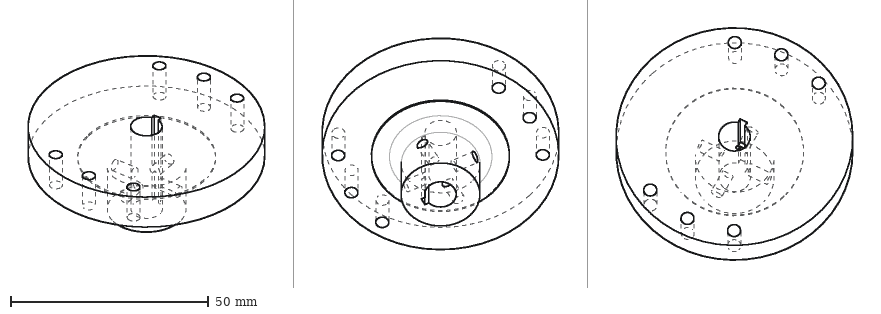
import cadquery as cq

flange_diameter = 60.0
flange_thickness = 9.5
pad_diameter = 35.0
pad_thickness = 0.5
hub_diameter = 20.0
total_height = 26.0
hub_fillet = 3.0

bore_diameter = 8.0
keyway_width = 2.0
keyway_depth = 5.0

cross_hole_diameter = 3.0
cross_hole_height = 9.65

flange_hole_diameter = 3.3
middle_hole_y = 25.5
outer_hole_x = 12.0
outer_hole_y = 23.0

flange_bottom = total_height - flange_thickness
pad_bottom = flange_bottom - pad_thickness
hub_radius = hub_diameter / 2


def make_body():
    """Revolved flange, pad and hub with a concave fillet under the pad."""
    fillet_start = (hub_radius, pad_bottom - hub_fillet)
    fillet_end = (hub_radius + hub_fillet, pad_bottom)
    return (
        cq.Workplane("XZ")
        .lineTo(hub_radius, 0)
        .lineTo(*fillet_start)
        .radiusArc(fillet_end, hub_fillet)
        .lineTo(pad_diameter / 2, pad_bottom)
        .lineTo(pad_diameter / 2, flange_bottom)
        .lineTo(flange_diameter / 2, flange_bottom)
        .lineTo(flange_diameter / 2, total_height)
        .lineTo(0, total_height)
        .close()
        .revolve(360, (0, 0), (0, 1))
    )


def make_keyed_bore():
    """Cutter for the through bore and its keyway."""
    bore = cq.Workplane("XY").circle(bore_diameter / 2).extrude(total_height)
    keyway = (
        cq.Workplane("XY")
        .center(0, keyway_depth / 2)
        .rect(keyway_width, keyway_depth)
        .extrude(total_height)
    )
    return bore.union(keyway)


def make_cross_hole(plane):
    """Cutter crossing the whole hub along the normal of the given plane."""
    return (
        cq.Workplane(plane)
        .center(0, cross_hole_height)
        .circle(cross_hole_diameter / 2)
        .extrude(hub_diameter, both=True)
    )


def make_flange_holes():
    """Cutters for the through holes near the +Y and -Y edges of the flange."""
    centers = []
    for side in (1, -1):
        centers.append((0, side * middle_hole_y))
        centers.append((outer_hole_x, side * outer_hole_y))
        centers.append((-outer_hole_x, side * outer_hole_y))
    return (
        cq.Workplane("XY")
        .pushPoints(centers)
        .circle(flange_hole_diameter / 2)
        .extrude(total_height)
    )


result = make_body().cut(make_keyed_bore()).cut(make_flange_holes())
for cross_plane in ("XZ", "YZ"):
    result = result.cut(make_cross_hole(cross_plane))